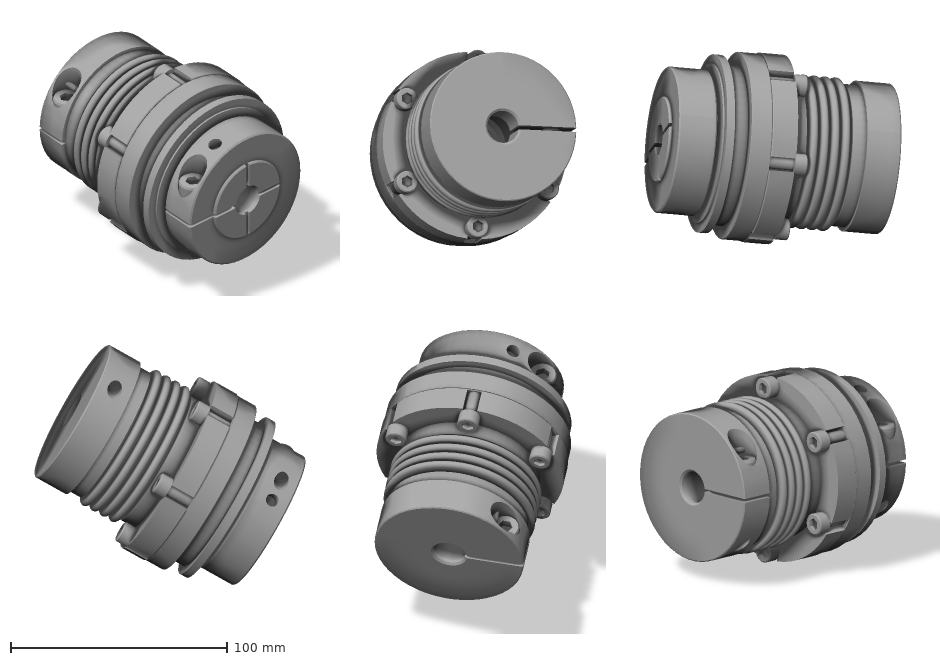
import cadquery as cq
import math


HUB_A_END = 16.3
HUB_A_RADIUS = 35.0
HUB_A_CHAMFER = 0.5
BELLOWS_START = 22.65
BELLOWS_FLANGE_RADIUS = 33.0
RING_COUNT = 4
RING_WIDTH = 3.4
ROOT_WIDTH = 1.68
RING_RADIUS = 35.7
ROOT_RADIUS = 52.3 / 2
BELLOWS_END = BELLOWS_START + RING_COUNT * (RING_WIDTH + ROOT_WIDTH) + ROOT_WIDTH

FLANGE_START = 51.5
FLANGE_END = 63.4
FLANGE_RADIUS = 44.0
FLANGE_CHAMFER = 0.4
GROOVE_RADIUS = 42.8
RING_START = 63.8
RING_END = 73.4
LIMITER_RING_RADIUS = 43.5
LIMITER_RING_CHAMFER = 0.2
BODY_RADIUS = 37.4
BODY_CHAMFER = 0.3
COLLAR_START = 80.9
COLLAR_END = 84.7
COLLAR_RADIUS = 41.4
LIP_END = 85.6
LIP_RADIUS = 37.1

HUB_B_START = 87.4
HUB_B_END = 105.5
HUB_B_RADIUS = 68.0 / 2
HUB_B_CHAMFER = 0.7
HUB_B_CONE_RADIUS = 26.7
DISC_END = 107.0
DISC_RADIUS = 20.0
DISC_CHAMFER = 0.6

SHAFT_BORE_DIAMETER = 15.0
BORE_CHAMFER = 1.0
BELLOWS_BORE_RADIUS = 14.1
BELLOWS_BORE_CONE_LENGTH = 2.2
BELLOWS_BORE_END_RADIUS = 11.9
SLEEVE_BORE_RADIUS = 8.9
SLEEVE_BORE_END = 89.5
SHAFT_BORE_B_START = 90.7
SLOT_WIDTH = 1.9

SCREW_COUNT = 6
SCREW_CIRCLE_RADIUS = 39.0
SCREW_DIAMETER = 6.0
SCREW_HEAD_DIAMETER = 10.0
SCREW_HEAD_HEIGHT = 6.0
SCREW_HEAD_CHAMFER = 0.5
SCREW_SOCKET = 5.0
NOTCH_WIDTH = 6.8

CLAMP_DIAMETER = 8.0
CLAMP_CLEARANCE = 8.5
CLAMP_TAP = 6.8
CLAMP_HEAD_DIAMETER = 13.0
CLAMP_HEAD_HEIGHT = 8.0
CLAMP_HEAD_CHAMFER = 0.5
CLAMP_HEAD_CHAMFER_HEIGHT = 1.0
CLAMP_SOCKET = 6.0
CLAMP_COUNTERBORE = 13.5
CLAMP_A_X = 8.15
CLAMP_A_Y = -25.0
CLAMP_A_HEAD_TOP = 17.2
CLAMP_A_TURN = 90.0
CLAMP_B_X = 97.2
CLAMP_B_Y = -25.3
CLAMP_B_HEAD_TOP = 17.6
CLAMP_B_TURN = 0.0

PIN_DIAMETER = 3.0
PIN_LENGTH = 13.9
PIN_Y = -19.75
PIN_Z = 19.5

SPANNER_HOLES = ((110.0, 6.5), (-120.0, 6.0))
SPANNER_HOLE_DEPTH = 6.0

SOCKET_DEPTH_RATIO = 0.5
DRILL_HALF_ANGLE = 60.0


def turned_body():
    """Revolve the outer profile about X."""
    tip_radius = RING_WIDTH / 2
    root_fillet = ROOT_WIDTH / 2
    tip_side = RING_RADIUS - tip_radius
    root_side = ROOT_RADIUS + root_fillet

    profile = (
        cq.Workplane("XY")
        .moveTo(0, 0)
        .lineTo(0, HUB_A_RADIUS - HUB_A_CHAMFER)
        .lineTo(HUB_A_CHAMFER, HUB_A_RADIUS)
        .lineTo(HUB_A_END, HUB_A_RADIUS)
        .lineTo(HUB_A_END, BELLOWS_FLANGE_RADIUS)
        .lineTo(BELLOWS_START, BELLOWS_FLANGE_RADIUS)
        .lineTo(BELLOWS_START, root_side)
    )
    x = BELLOWS_START
    for _ in range(RING_COUNT):
        ring_start = x + ROOT_WIDTH
        ring_end = ring_start + RING_WIDTH
        profile = (
            profile.threePointArc((x + root_fillet, ROOT_RADIUS), (ring_start, root_side))
            .lineTo(ring_start, tip_side)
            .threePointArc((ring_start + tip_radius, RING_RADIUS), (ring_end, tip_side))
            .lineTo(ring_end, root_side)
        )
        x = ring_end
    profile = (
        profile.threePointArc((x + root_fillet, ROOT_RADIUS), (BELLOWS_END, root_side))
        .lineTo(BELLOWS_END, BELLOWS_FLANGE_RADIUS)
        .lineTo(FLANGE_START, BELLOWS_FLANGE_RADIUS)
        .lineTo(FLANGE_START, FLANGE_RADIUS)
        .lineTo(FLANGE_END - FLANGE_CHAMFER, FLANGE_RADIUS)
        .lineTo(FLANGE_END, FLANGE_RADIUS - FLANGE_CHAMFER)
        .lineTo(FLANGE_END, GROOVE_RADIUS)
        .lineTo(RING_START, GROOVE_RADIUS)
        .lineTo(RING_START, LIMITER_RING_RADIUS)
        .lineTo(RING_END - LIMITER_RING_CHAMFER, LIMITER_RING_RADIUS)
        .lineTo(RING_END, LIMITER_RING_RADIUS - LIMITER_RING_CHAMFER)
        .lineTo(RING_END, BODY_RADIUS - BODY_CHAMFER)
        .lineTo(RING_END + BODY_CHAMFER, BODY_RADIUS)
        .lineTo(COLLAR_START - BODY_CHAMFER, BODY_RADIUS)
        .lineTo(COLLAR_START, BODY_RADIUS - BODY_CHAMFER)
        .lineTo(COLLAR_START, COLLAR_RADIUS)
        .lineTo(COLLAR_END, COLLAR_RADIUS)
        .lineTo(COLLAR_END, LIP_RADIUS)
        .lineTo(LIP_END, LIP_RADIUS)
        .lineTo(LIP_END, HUB_B_CONE_RADIUS)
        .lineTo(HUB_B_START, HUB_B_RADIUS - HUB_B_CHAMFER)
        .lineTo(HUB_B_START + HUB_B_CHAMFER, HUB_B_RADIUS)
        .lineTo(HUB_B_END - HUB_B_CHAMFER, HUB_B_RADIUS)
        .lineTo(HUB_B_END, HUB_B_RADIUS - HUB_B_CHAMFER)
        .lineTo(HUB_B_END, DISC_RADIUS)
        .lineTo(DISC_END - DISC_CHAMFER, DISC_RADIUS)
        .lineTo(DISC_END, DISC_RADIUS - DISC_CHAMFER)
        .lineTo(DISC_END, 0)
        .close()
    )
    return profile.revolve(360, (0, 0, 0), (1, 0, 0))


def bore():
    """Shaft bores of both hubs, joined by wider bores in the bellows and the limiter sleeve.

    The seam of the turned faces lies in the slits on the -Y side.
    """
    shaft_radius = SHAFT_BORE_DIAMETER / 2
    return (
        cq.Workplane("XY")
        .moveTo(0, 0)
        .lineTo(0, shaft_radius + BORE_CHAMFER)
        .lineTo(BORE_CHAMFER, shaft_radius)
        .lineTo(HUB_A_END, shaft_radius)
        .lineTo(HUB_A_END, BELLOWS_BORE_RADIUS)
        .lineTo(FLANGE_START - BELLOWS_BORE_CONE_LENGTH, BELLOWS_BORE_RADIUS)
        .lineTo(FLANGE_START, BELLOWS_BORE_END_RADIUS)
        .lineTo(FLANGE_START, SLEEVE_BORE_RADIUS + BORE_CHAMFER)
        .lineTo(FLANGE_START + BORE_CHAMFER, SLEEVE_BORE_RADIUS)
        .lineTo(SLEEVE_BORE_END, SLEEVE_BORE_RADIUS)
        .lineTo(SHAFT_BORE_B_START, shaft_radius)
        .lineTo(DISC_END, shaft_radius)
        .lineTo(DISC_END, 0)
        .close()
        .revolve(360, (0, 0, 0), (1, 0, 0))
        .rotate((0, 0, 0), (1, 0, 0), 180)
    )


def clamping_slot(start, end):
    """Slit through the -Y wall of a hub."""
    slit = cq.Workplane("XY").box(end - start, HUB_A_RADIUS, SLOT_WIDTH, centered=(False, False, True))
    return slit.translate((start, -HUB_A_RADIUS, 0))


def disc_cross_slots():
    """Two crossing slits that divide the end disc into four sectors."""
    thickness = DISC_END - HUB_B_END
    slit = cq.Workplane("XY").box(thickness, 2 * DISC_RADIUS, SLOT_WIDTH, centered=(False, True, True))
    slit = slit.translate((HUB_B_END, 0, 0))
    return slit.union(slit.rotate((0, 0, 0), (1, 0, 0), 90))


def hex_socket(across_flats, depth):
    """Hexagonal recess with a conical bottom, opening at Z = 0; corners on the X axis."""
    hexagon = cq.Workplane("XY").polygon(6, across_flats / math.cos(math.pi / 6)).extrude(-depth)
    tip_radius = across_flats / 2
    tip_height = tip_radius / math.tan(math.radians(DRILL_HALF_ANGLE))
    tip = cq.Solid.makeCone(tip_radius, 0, tip_height, cq.Vector(0, 0, -depth), cq.Vector(0, 0, -1))
    return hexagon.union(cq.Workplane(tip))


def cap_screw(shank_diameter, shank_length, head_diameter, head_height, socket, chamfer, chamfer_height):
    """Socket head screw along Z with the head top at Z = 0 and the shank pointing down."""
    head = (
        cq.Workplane("XY")
        .circle(head_diameter / 2)
        .extrude(-head_height)
        .faces(">Z")
        .edges()
        .chamfer(chamfer_height, chamfer)
    )
    shank = cq.Workplane("XY").circle(shank_diameter / 2).extrude(-head_height - shank_length)
    return head.union(shank).cut(hex_socket(socket, SOCKET_DEPTH_RATIO * head_height))


def around_axis(shape):
    """Copies of a shape spaced evenly about X."""
    return [shape.rotate((0, 0, 0), (1, 0, 0), i * 360 / SCREW_COUNT) for i in range(SCREW_COUNT)]


def flange_notch():
    """Round-bottomed notch for one flange screw, open to the flange rim on the +Z side."""
    length = FLANGE_END - FLANGE_START
    rim_depth = 2 * (FLANGE_RADIUS - SCREW_CIRCLE_RADIUS)
    hole = cq.Workplane("YZ").center(0, SCREW_CIRCLE_RADIUS).circle(NOTCH_WIDTH / 2).extrude(length)
    opening = cq.Workplane("XY").box(length, NOTCH_WIDTH, rim_depth, centered=(False, True, False))
    return hole.union(opening.translate((0, 0, SCREW_CIRCLE_RADIUS))).translate((FLANGE_START, 0, 0))


def flange_screw():
    """One flange screw on the +Z side, head towards -X, threaded into the limiter ring."""
    screw = cap_screw(
        SCREW_DIAMETER,
        RING_END - FLANGE_START - SCREW_HEAD_HEIGHT,
        SCREW_HEAD_DIAMETER,
        SCREW_HEAD_HEIGHT,
        SCREW_SOCKET,
        SCREW_HEAD_CHAMFER,
        SCREW_HEAD_CHAMFER,
    )
    screw = screw.rotate((0, 0, 0), (0, 1, 0), -90)
    return screw.translate((FLANGE_START - SCREW_HEAD_HEIGHT, 0, SCREW_CIRCLE_RADIUS))


def clamp_holes(x, y, head_top):
    """Counterbore and clearance hole above the slit, tapping hole below it."""
    seat = head_top - CLAMP_HEAD_HEIGHT
    counterbore = cq.Workplane("XY", origin=(x, y, seat)).circle(CLAMP_COUNTERBORE / 2).extrude(HUB_A_RADIUS)
    clearance = cq.Workplane("XY", origin=(x, y, -SLOT_WIDTH / 2)).circle(CLAMP_CLEARANCE / 2)
    clearance = clearance.extrude(seat + SLOT_WIDTH / 2)
    tapping = cq.Workplane("XY", origin=(x, y, 0)).circle(CLAMP_TAP / 2).extrude(-HUB_A_RADIUS)
    return counterbore.union(clearance).union(tapping)


def clamp_screw(x, y, head_top, turn):
    """Clamp screw reaching into the tapping hole; `turn` sets the socket orientation."""
    shank_length = 2 * (head_top - CLAMP_HEAD_HEIGHT)
    screw = cap_screw(
        CLAMP_DIAMETER,
        shank_length,
        CLAMP_HEAD_DIAMETER,
        CLAMP_HEAD_HEIGHT,
        CLAMP_SOCKET,
        CLAMP_HEAD_CHAMFER,
        CLAMP_HEAD_CHAMFER_HEIGHT,
    )
    return screw.rotate((0, 0, 0), (0, 0, 1), turn).translate((x, y, head_top))


def retaining_pin():
    """Pin across the counterbore of hub A, above the screw head."""
    pin = cq.Workplane("YZ").center(PIN_Y, PIN_Z).circle(PIN_DIAMETER / 2).extrude(PIN_LENGTH)
    return pin.translate((CLAMP_A_X - PIN_LENGTH / 2, 0, 0))


def spanner_hole(angle, diameter):
    """Blind radial hole with a drill-point bottom in hub B."""
    bottom = HUB_B_RADIUS - SPANNER_HOLE_DEPTH
    radius = diameter / 2
    tip_height = radius / math.tan(math.radians(DRILL_HALF_ANGLE))
    hole = cq.Workplane("XZ").circle(radius).extrude(-2 * SPANNER_HOLE_DEPTH).translate((0, bottom, 0))
    tip = cq.Solid.makeCone(radius, 0, tip_height, cq.Vector(0, bottom, 0), cq.Vector(0, -1, 0))
    drill = hole.union(cq.Workplane(tip))
    return drill.rotate((0, 0, 0), (1, 0, 0), angle).translate((CLAMP_B_X, 0, 0))


body = turned_body().cut(bore())
body = body.cut(clamping_slot(0, HUB_A_END)).cut(clamping_slot(LIP_END, HUB_B_END))
body = body.cut(disc_cross_slots())

for notch in around_axis(flange_notch()):
    body = body.cut(notch)
for screw in around_axis(flange_screw()):
    body = body.union(screw)

body = body.cut(clamp_holes(CLAMP_A_X, CLAMP_A_Y, CLAMP_A_HEAD_TOP))
body = body.cut(clamp_holes(CLAMP_B_X, CLAMP_B_Y, CLAMP_B_HEAD_TOP))
body = body.union(clamp_screw(CLAMP_A_X, CLAMP_A_Y, CLAMP_A_HEAD_TOP, CLAMP_A_TURN))
body = body.union(clamp_screw(CLAMP_B_X, CLAMP_B_Y, CLAMP_B_HEAD_TOP, CLAMP_B_TURN))
body = body.union(retaining_pin())

for hole_angle, hole_diameter in SPANNER_HOLES:
    body = body.cut(spanner_hole(hole_angle, hole_diameter))

result = body